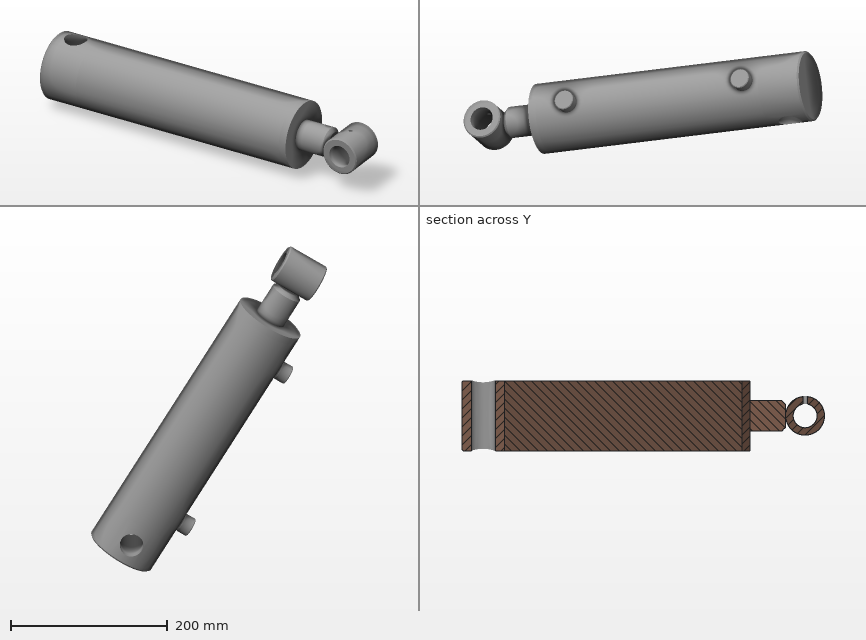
import cadquery as cq


barrel_diameter = 90.0
cap_length = 55.0
cap_chamfer = 2.0
mount_hole_diameter = 30.0
mount_hole_x = cap_length / 2
gland_length = 10.0
barrel_length = 368.0
tube_length = barrel_length - cap_length - gland_length

rod_diameter = 40.0
rod_chamfer = 5.0
eye_diameter = 50.0
eye_bore = 30.0
eye_width = 55.0
eye_chamfer = 1.5
grease_hole_diameter = 5.0
overall_length = 463.0
eye_x = overall_length - eye_diameter / 2
rod_length = eye_x - eye_diameter / 2 - barrel_length

port_diameter = 25.0
port_chamfer = 1.0
port_length = 15.0
port_positions_x = (74.5, 314.0)


def cylinder_along_x(start_x, length, diameter):
    return cq.Workplane("YZ", origin=(start_x, 0, 0)).circle(diameter / 2).extrude(length)


def make_base_cap():
    cap = cylinder_along_x(0, cap_length, barrel_diameter).faces("<X").chamfer(cap_chamfer)
    mount_hole = (
        cq.Workplane("XY")
        .center(mount_hole_x, 0)
        .circle(mount_hole_diameter / 2)
        .extrude(barrel_diameter / 2, both=True)
    )
    return cap.cut(mount_hole)


def make_tube():
    return cylinder_along_x(cap_length, tube_length, barrel_diameter)


def make_gland():
    return cylinder_along_x(cap_length + tube_length, gland_length, barrel_diameter)


def make_rod():
    rod = cylinder_along_x(barrel_length, rod_length, rod_diameter)
    return rod.faces(">X").chamfer(rod_chamfer)


def make_rod_eye():
    eye = (
        cq.Workplane("XZ", origin=(eye_x, eye_width / 2, 0))
        .circle(eye_diameter / 2)
        .extrude(eye_width)
        .faces("<Y or >Y")
        .chamfer(eye_chamfer)
        .faces("<Y")
        .workplane()
        .hole(eye_bore)
    )
    grease_hole = (
        cq.Workplane("XY")
        .center(eye_x, 0)
        .circle(grease_hole_diameter / 2)
        .extrude(eye_diameter / 2)
    )
    return eye.cut(grease_hole)


def make_port(center_x):
    return (
        cq.Workplane("XZ", origin=(center_x, barrel_diameter / 2, 0))
        .circle(port_diameter / 2)
        .extrude(-port_length)
        .faces("<Y or >Y")
        .chamfer(port_chamfer)
    )


base_cap = make_base_cap()
tube = make_tube()
gland = make_gland()
rod = make_rod()
rod_eye = make_rod_eye()
ports = [make_port(center_x) for center_x in port_positions_x]

result = cq.Compound.makeCompound([
    base_cap.val(),
    tube.val(),
    gland.val(),
    rod.val(),
    rod_eye.val(),
    *[port.val() for port in ports],
])